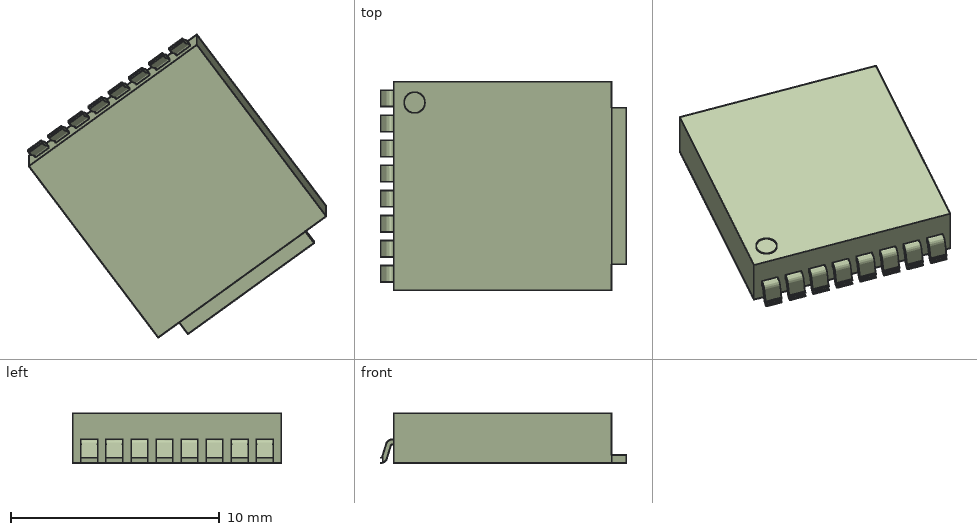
import cadquery as cq
import math

total_length = 11.76
housing_width = 10.0
housing_height = 2.4

tab_reach = 0.7
tab_width = 7.5
tab_thickness = 0.4

lead_count = 8
lead_pitch = 1.2
lead_width = 0.8
lead_reach = 0.62
lead_thickness = 0.25
lead_top = 1.14
bend_inner_radius = 0.07
bend_outer_radius = bend_inner_radius + lead_thickness
shank_angle = math.radians(73)
toe_recess_depth = 0.09
toe_lip_thickness = 0.018

mark_diameter = 1.0
mark_inset = 1.0
mark_depth = 0.05

housing_start = lead_reach
housing_end = total_length - tab_reach
housing_length = housing_end - housing_start


def make_housing():
    block = cq.Workplane("XY").box(
        housing_length, housing_width, housing_height, centered=(False, True, False)
    ).translate((housing_start, 0, 0))
    mark = (
        cq.Workplane("XY", origin=(0, 0, housing_height))
        .center(housing_start + mark_inset, housing_width / 2 - mark_inset)
        .circle(mark_diameter / 2)
        .extrude(-mark_depth)
    )
    return block.cut(mark)


def make_tab():
    return cq.Workplane("XY").box(
        tab_reach, tab_width, tab_thickness, centered=(False, True, False)
    ).translate((housing_end, 0, 0))


def arc_point(center, radius, angle):
    """Point on a circle in the XZ plane, with the angle in radians from +X."""
    return (center[0] + radius * math.cos(angle), center[1] + radius * math.sin(angle))


def make_lead(y_center):
    bend_radius_sum = bend_inner_radius + bend_outer_radius
    foot_center = (0, bend_outer_radius)
    shoulder_center_z = lead_top - bend_outer_radius
    shank_rise = shoulder_center_z - foot_center[1] + bend_radius_sum * math.cos(shank_angle)
    shoulder_center = (
        bend_radius_sum * math.sin(shank_angle) + shank_rise / math.tan(shank_angle),
        shoulder_center_z,
    )

    foot_start = -math.pi / 2
    foot_end = foot_start + shank_angle
    foot_middle = foot_start + shank_angle / 2
    shoulder_start = math.pi / 2
    shoulder_end = shoulder_start + shank_angle
    shoulder_middle = shoulder_start + shank_angle / 2

    profile = (
        cq.Workplane("XZ", origin=(0, y_center + lead_width / 2, 0))
        .moveTo(0, 0)
        .threePointArc(
            arc_point(foot_center, bend_outer_radius, foot_middle),
            arc_point(foot_center, bend_outer_radius, foot_end),
        )
        .lineTo(*arc_point(shoulder_center, bend_inner_radius, shoulder_end))
        .threePointArc(
            arc_point(shoulder_center, bend_inner_radius, shoulder_middle),
            arc_point(shoulder_center, bend_inner_radius, shoulder_start),
        )
        .lineTo(lead_reach, lead_top - lead_thickness)
        .lineTo(lead_reach, lead_top)
        .lineTo(shoulder_center[0], lead_top)
        .threePointArc(
            arc_point(shoulder_center, bend_outer_radius, shoulder_middle),
            arc_point(shoulder_center, bend_outer_radius, shoulder_end),
        )
        .lineTo(*arc_point(foot_center, bend_inner_radius, foot_end))
        .threePointArc(
            arc_point(foot_center, bend_inner_radius, foot_middle),
            arc_point(foot_center, bend_inner_radius, foot_start),
        )
        .lineTo(toe_recess_depth, lead_thickness)
        .lineTo(toe_recess_depth, toe_lip_thickness)
        .lineTo(0, toe_lip_thickness)
        .close()
    )
    return profile.extrude(lead_width)


housing = make_housing()
tab = make_tab()
leads = []
for index in range(lead_count):
    lead_y = (index - (lead_count - 1) / 2) * lead_pitch
    leads.append(make_lead(lead_y))

result = cq.Compound.makeCompound([housing.val(), tab.val(), *[lead.val() for lead in leads]])